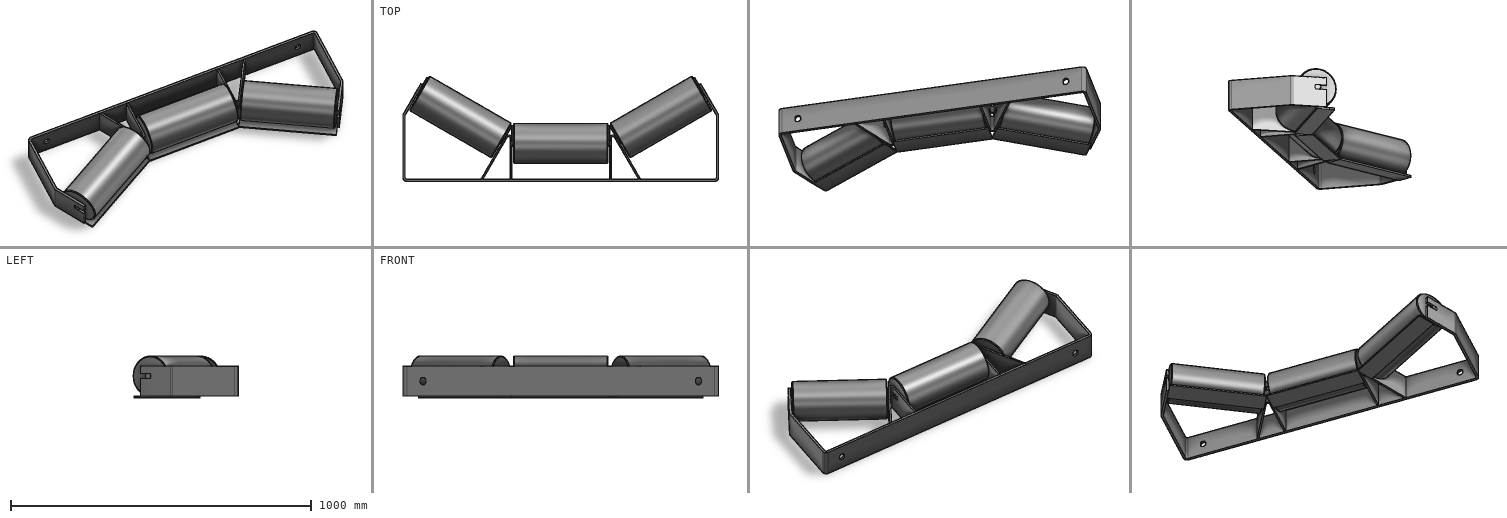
import cadquery as cq
import math

roller_radius = 66.5
roller_length = 315.0
roller_chamfer = 3.0
shaft_radius = 10.0
shaft_flat_width = 15.0

strap_height = 100.0
frame_length = 1050.0
frame_thickness = 8.0
bracket_thickness = 6.0
bend_inner_radius = 5.5
roller_end_gap = 4.5
frame_tip_overhang = 30.0

axis_height = 67.0
wing_angle = 30.0
centre_roller_y = 127.0
side_roller_x = 333.0
side_roller_y = 214.55

mount_hole_spacing = 915.0
mount_hole_width = 19.0
mount_hole_height = 25.0

plate_length = 326.0
plate_width = 60.0
plate_thickness = 6.0
plate_corner_radius = 4.0

strap_near_face = roller_length / 2 + roller_end_gap
frame_far_face = strap_near_face + frame_thickness
bracket_far_face = strap_near_face + bracket_thickness
slot_reach = 2 * roller_radius

wing_sin = math.sin(math.radians(wing_angle))
wing_cos = math.cos(math.radians(wing_angle))

LEFT, CENTRE, RIGHT = -1, 0, 1


def place(body, station):
    """Move a body built around the Z axis to the left, centre or right roller station."""
    roller_y = centre_roller_y if station == CENTRE else side_roller_y
    turned = body.rotate((0, 0, 0), (0, 0, 1), station * wing_angle)
    return turned.translate((station * side_roller_x, roller_y, 0))


def wing_point(along, across):
    """XY point given along and across the axis of the right roller."""
    x = side_roller_x + along * wing_cos - across * wing_sin
    y = side_roller_y + along * wing_sin + across * wing_cos
    return (x, y)


def wing_face_y(along, x):
    """Y at a given X on the plane square to the right roller's axis."""
    return side_roller_y + (along - (x - side_roller_x) * wing_cos) / wing_sin


def wing_face_x(along, y):
    """X at a given Y on the plane square to the right roller's axis."""
    return side_roller_x + (along - (y - side_roller_y) * wing_sin) / wing_cos


def axial_cylinder(radius, start, end):
    """Cylinder along X between two stations on the axis."""
    return cq.Workplane("YZ", origin=(start, 0, 0)).circle(radius).extrude(end - start)


def flatted_shaft(start, end):
    """Shaft along X with two flats facing up and down."""
    flats = cq.Workplane("XY").box(end - start, 2 * shaft_radius, shaft_flat_width)
    flats = flats.translate(((start + end) / 2, 0, 0))
    return axial_cylinder(shaft_radius, start, end).intersect(flats)


def shaft_slot(start, end):
    """Cutter for a shaft end: closed below by the shaft's own curve and open towards +Y."""
    channel = cq.Workplane("XY").box(end - start, slot_reach, shaft_flat_width)
    channel = channel.translate(((start + end) / 2, slot_reach / 2, 0))
    return channel.union(flatted_shaft(start, end)).translate((0, 0, axis_height))


def make_roller(left_end, right_end):
    drum = axial_cylinder(roller_radius, -roller_length / 2, roller_length / 2)
    drum = drum.faces("<X or >X").chamfer(roller_chamfer)
    round_shaft = axial_cylinder(shaft_radius, -strap_near_face, strap_near_face)
    roller = drum.union(round_shaft).union(flatted_shaft(-left_end, right_end))
    return roller.translate((0, 0, axis_height))


def upright_edge(x, y):
    """Selector for the upright edge of a strap at a given XY point."""
    margin = 1.0
    low = (x - margin, y - margin, 0)
    high = (x + margin, y + margin, strap_height)
    return cq.selectors.BoxSelector(low, high)


def make_frame():
    outer_x = frame_length / 2
    inner_x = outer_x - frame_thickness
    outer_corner = (outer_x, 0)
    inner_corner = (inner_x, frame_thickness)
    outer_knee = (outer_x, wing_face_y(frame_far_face, outer_x))
    inner_knee = (inner_x, wing_face_y(strap_near_face, inner_x))
    outer_tip = wing_point(frame_far_face, frame_tip_overhang)
    inner_tip = wing_point(strap_near_face, frame_tip_overhang)

    right_half = [outer_corner, outer_knee, outer_tip, inner_tip, inner_knee, inner_corner]
    left_half = [(-x, y) for x, y in reversed(right_half)]
    frame = cq.Workplane("XY").polyline(right_half + left_half).close().extrude(strap_height)

    bend_outer_radius = bend_inner_radius + frame_thickness
    for side in (LEFT, RIGHT):
        for x, y in (outer_corner, outer_knee):
            frame = frame.edges(upright_edge(side * x, y)).fillet(bend_outer_radius)
        for x, y in (inner_corner, inner_knee):
            frame = frame.edges(upright_edge(side * x, y)).fillet(bend_inner_radius)

    frame = frame.cut(place(shaft_slot(-frame_far_face, -strap_near_face), LEFT))
    frame = frame.cut(place(shaft_slot(strap_near_face, frame_far_face), RIGHT))

    hole_places = [(side * mount_hole_spacing / 2, strap_height / 2) for side in (LEFT, RIGHT)]
    holes = cq.Workplane("XZ").pushPoints(hole_places)
    holes = holes.slot2D(mount_hole_height, mount_hole_width, 90).extrude(-frame_thickness)
    return frame.cut(holes)


def make_bracket(side):
    """Hairpin strap with one leg at the centre roller and one at a side roller."""
    bend_outer_radius = bend_inner_radius + bracket_thickness
    bend_reach = strap_near_face + bend_outer_radius
    bend_x = bend_reach
    bend_y = wing_face_y(-bend_reach, bend_x)

    def on_bend(radius, degrees):
        angle = math.radians(degrees)
        return (bend_x + radius * math.cos(angle), bend_y + radius * math.sin(angle))

    straight_leg_angle = 180
    middle_angle = (straight_leg_angle + wing_angle) / 2
    foot_y = frame_thickness
    bracket = (
        cq.Workplane("XY")
        .moveTo(strap_near_face, foot_y)
        .lineTo(*on_bend(bend_outer_radius, straight_leg_angle))
        .threePointArc(
            on_bend(bend_outer_radius, middle_angle),
            on_bend(bend_outer_radius, wing_angle),
        )
        .lineTo(wing_face_x(-strap_near_face, foot_y), foot_y)
        .lineTo(wing_face_x(-bracket_far_face, foot_y), foot_y)
        .lineTo(*on_bend(bend_inner_radius, wing_angle))
        .threePointArc(
            on_bend(bend_inner_radius, middle_angle),
            on_bend(bend_inner_radius, straight_leg_angle),
        )
        .lineTo(bracket_far_face, foot_y)
        .close()
        .extrude(strap_height)
    )

    bracket = bracket.cut(place(shaft_slot(strap_near_face, bend_reach), CENTRE))
    bracket = bracket.cut(place(shaft_slot(-bend_reach, -strap_near_face), RIGHT))
    return bracket if side == RIGHT else bracket.mirror("YZ")


def make_plate():
    plate = cq.Workplane("XY").box(plate_length, plate_width, plate_thickness)
    plate = plate.edges("|Z").fillet(plate_corner_radius)
    return plate.translate((0, plate_width / 2, -plate_thickness / 2))


frame = make_frame()
brackets = [make_bracket(side) for side in (LEFT, RIGHT)]

rollers = []
plates = []
for station in (LEFT, CENTRE, RIGHT):
    left_end = frame_far_face if station == LEFT else bracket_far_face
    right_end = frame_far_face if station == RIGHT else bracket_far_face
    rollers.append(place(make_roller(left_end, right_end), station))
    plates.append(place(make_plate(), station))

bodies = [frame, *brackets, *rollers, *plates]
result = cq.Compound.makeCompound([body.val() for body in bodies])